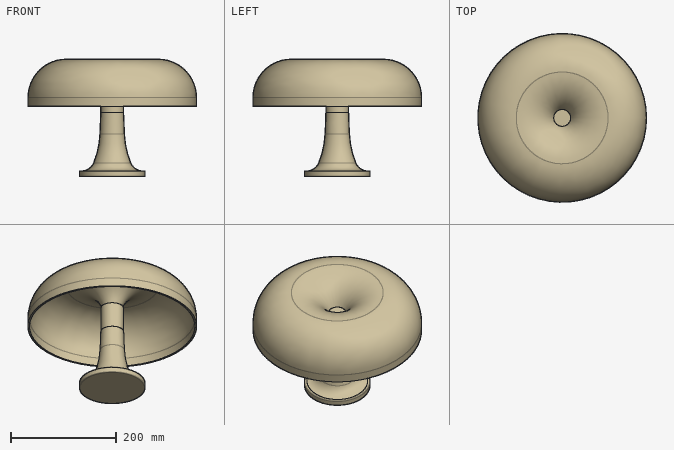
import cadquery as cq
import math

total_height = 223.0
shade_radius = 160.3

base_radius = 62.5
base_height = 11.0
base_edge_round = 1.0

foot_radius = 57.7
waist_bottom_radius = 35.3
waist_bottom_z = 26.3
waist_top_radius = 23.5
waist_top_z = 81.0
stem_top_radius = 21.8
stem_top_z = 121.8

rim_height = 16.7
shoulder_radius = 73.0
dimple_floor_radius = 16.0
dimple_depth = 47.0
shade_thickness = 3.2

shoulder_z = total_height - shoulder_radius
rim_bottom_z = shoulder_z - rim_height
crest_radius = shade_radius - shoulder_radius
dimple_floor_z = total_height - dimple_depth

dimple_run = crest_radius - dimple_floor_radius
dimple_arc_radius = (dimple_run**2 + dimple_depth**2) / (2 * dimple_depth)


def revolve_about_z(profile):
    """Turn a closed profile, drawn as radius against height, once around Z."""
    return profile.close().revolve(360, (0, 0, 0), (0, 1, 0))


def shade_solid(inset):
    """Solid form of the shade with its curved surface moved inward by inset."""
    shoulder = shoulder_radius - inset
    dimple_arc = dimple_arc_radius - inset
    arc_center_z = total_height - dimple_arc_radius
    floor_z = dimple_floor_z - inset
    floor_radius = crest_radius - math.sqrt(dimple_arc**2 - (floor_z - arc_center_z) ** 2)

    shoulder_diagonal = shoulder * math.sqrt(0.5)
    shoulder_middle = (crest_radius + shoulder_diagonal, shoulder_z + shoulder_diagonal)
    half_angle = math.acos((floor_z - arc_center_z) / dimple_arc) / 2
    dimple_middle = (
        crest_radius - dimple_arc * math.sin(half_angle),
        arc_center_z + dimple_arc * math.cos(half_angle),
    )
    return revolve_about_z(
        cq.Workplane("XZ")
        .moveTo(0, rim_bottom_z)
        .lineTo(crest_radius + shoulder, rim_bottom_z)
        .lineTo(crest_radius + shoulder, shoulder_z)
        .threePointArc(shoulder_middle, (crest_radius, total_height - inset))
        .threePointArc(dimple_middle, (floor_radius, floor_z))
        .lineTo(0, floor_z)
    )


def make_shade():
    """Shell open at the bottom; its closed dimple floor rests on the collar."""
    return shade_solid(0).cut(shade_solid(shade_thickness))


def make_collar():
    """Straight post from the top of the stem to the underside of the dimple floor."""
    height = dimple_floor_z - shade_thickness - stem_top_z
    return cq.Workplane("XY").workplane(offset=stem_top_z).circle(stem_top_radius).extrude(height)


def make_stem():
    """Turned stem: the tapered neck flows through two tangent arcs, waist and foot, onto the base."""
    return revolve_about_z(
        cq.Workplane("XZ")
        .moveTo(0, stem_top_z)
        .lineTo(stem_top_radius, stem_top_z)
        .lineTo(waist_top_radius, waist_top_z)
        .tangentArcPoint((waist_bottom_radius, waist_bottom_z), relative=False)
        .tangentArcPoint((foot_radius, base_height), relative=False)
        .lineTo(0, base_height)
    )


def make_base():
    """Flat disc with softened top and bottom edges."""
    disc = cq.Workplane("XY").circle(base_radius).extrude(base_height)
    return disc.edges("%CIRCLE").fillet(base_edge_round)


shade = make_shade()
collar = make_collar()
stem = make_stem()
base = make_base()

result = cq.Compound.makeCompound([shade.val(), collar.val(), stem.val(), base.val()])